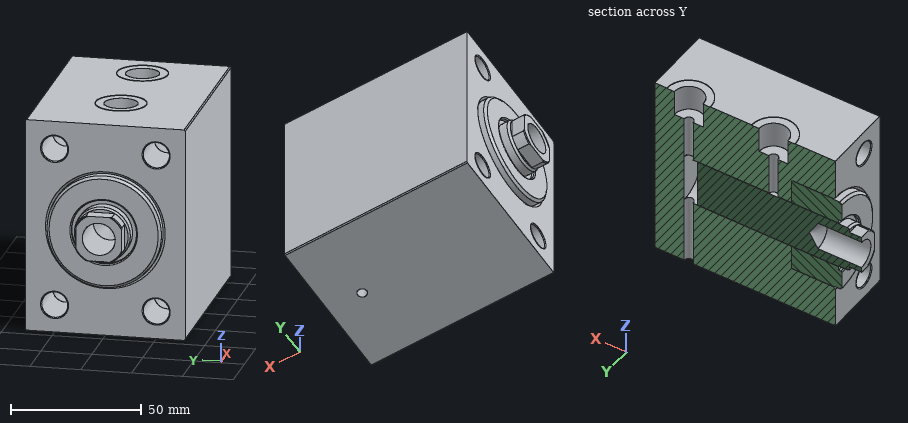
import cadquery as cq
import math

TOTAL_LENGTH = 95.0
ROD_PROJECTION = 12.0

BLOCK_LENGTH = TOTAL_LENGTH - ROD_PROJECTION
BLOCK_WIDTH = 63.0
BLOCK_HEIGHT = 85.0
BLOCK_EDGE_CHAMFER = 0.5

MOUNT_SPACING_Y = 40.0
MOUNT_SPACING_Z = 63.0
MOUNT_RADIUS = 5.1
MOUNT_MOUTH_RADIUS = 5.5
MOUNT_DEPTH = 20.0

PORT_X = (28.5, 67.45)
PORT_RADIUS = 6.6
PORT_DEPTH = 12.0
SPOT_FACE_RADIUS = 10.0
SPOT_FACE_DEPTH = 0.2
DRILL_RADIUS = 2.0

GLAND_RADIUS = 22.5
GLAND_PROJECTION = 3.0
GLAND_INSERTION = 20.0
GLAND_CHAMFER = 1.0
SEAT_MOUTH_RADIUS = 23.6
WIPER_RADIUS = 12.8
WIPER_MOUTH_RADIUS = 13.3
WIPER_DEPTH = 1.5

ROD_RADIUS = 11.0
ROD_CLEARANCE = 2.0
SHOULDER_X = -6.5
SHOULDER_CHAMFER_LENGTH = 1.0
TIP_RADIUS = 10.4
TIP_CHAMFER = 0.4
FLAT_WIDTH = 18.05
ROD_HOLE_RADIUS = 6.5
ROD_HOLE_DEPTH = 20.0

DRILL_POINT_ANGLE = 118

ROD_END_X = PORT_X[1] - DRILL_RADIUS - ROD_CLEARANCE
BORE_END_X = PORT_X[1] + DRILL_RADIUS


def turned(profile):
    """Revolve an outline of (x, radius) points about the X axis."""
    return cq.Workplane("XY").polyline(profile).close().revolve(360, (0, 0, 0), (1, 0, 0))


def drilled_hole(start_x, radius, depth):
    """Cutter for a blind hole along +X with a conical bottom."""
    point = radius / math.tan(math.radians(DRILL_POINT_ANGLE / 2))
    return turned([
        (start_x, 0),
        (start_x, radius),
        (start_x + depth, radius),
        (start_x + depth + point, 0),
    ])


def vertical_cylinder(x, radius, bottom, top):
    """Cylinder about a vertical axis at y = 0."""
    return cq.Workplane("XY", origin=(x, 0, bottom)).circle(radius).extrude(top - bottom)


def make_block():
    """Housing with the stepped bore, the mounting holes and the oil ports."""
    block = cq.Workplane("XY").box(BLOCK_LENGTH, BLOCK_WIDTH, BLOCK_HEIGHT, centered=(False, True, True))
    block = block.edges("|X").chamfer(BLOCK_EDGE_CHAMFER)

    seat_mouth = SEAT_MOUTH_RADIUS - GLAND_RADIUS
    block = block.cut(turned([
        (0, 0),
        (0, SEAT_MOUTH_RADIUS),
        (seat_mouth, GLAND_RADIUS),
        (GLAND_INSERTION, GLAND_RADIUS),
        (GLAND_INSERTION, ROD_RADIUS),
        (BORE_END_X, ROD_RADIUS),
        (BORE_END_X, 0),
    ]))

    mount_mouth = MOUNT_MOUTH_RADIUS - MOUNT_RADIUS
    countersink = turned([
        (0, 0),
        (0, MOUNT_MOUTH_RADIUS),
        (mount_mouth, MOUNT_RADIUS),
        (mount_mouth, 0),
    ])
    mount_hole = drilled_hole(0, MOUNT_RADIUS, MOUNT_DEPTH).union(countersink)
    for y in (-MOUNT_SPACING_Y / 2, MOUNT_SPACING_Y / 2):
        for z in (-MOUNT_SPACING_Z / 2, MOUNT_SPACING_Z / 2):
            block = block.cut(mount_hole.translate((0, y, z)))

    top = BLOCK_HEIGHT / 2
    for x, drill_bottom in zip(PORT_X, (0, -top)):
        block = block.cut(vertical_cylinder(x, SPOT_FACE_RADIUS, top - SPOT_FACE_DEPTH, top))
        block = block.cut(vertical_cylinder(x, PORT_RADIUS, top - PORT_DEPTH, top))
        block = block.cut(vertical_cylinder(x, DRILL_RADIUS, drill_bottom, top))
    return block


def make_gland():
    """Ring around the rod, with an outer chamfer and an open wiper recess in its front face."""
    front = -GLAND_PROJECTION
    wiper_mouth = WIPER_MOUTH_RADIUS - WIPER_RADIUS
    return turned([
        (front, WIPER_MOUTH_RADIUS),
        (front, GLAND_RADIUS - GLAND_CHAMFER),
        (front + GLAND_CHAMFER, GLAND_RADIUS),
        (GLAND_INSERTION, GLAND_RADIUS),
        (GLAND_INSERTION, ROD_RADIUS),
        (front + WIPER_DEPTH, ROD_RADIUS),
        (front + WIPER_DEPTH, WIPER_RADIUS),
        (front + wiper_mouth, WIPER_RADIUS),
    ])


def make_rod():
    """Round rod with a square wrench tip and a blind hole on its axis."""
    tip_x = -ROD_PROJECTION
    rod = turned([
        (tip_x, 0),
        (tip_x, TIP_RADIUS - TIP_CHAMFER),
        (tip_x + TIP_CHAMFER, TIP_RADIUS),
        (SHOULDER_X, TIP_RADIUS),
        (SHOULDER_X + SHOULDER_CHAMFER_LENGTH, ROD_RADIUS),
        (ROD_END_X, ROD_RADIUS),
        (ROD_END_X, 0),
    ])

    tip_length = SHOULDER_X - tip_x
    outer_width = 2 * FLAT_WIDTH
    flats_frame = (
        cq.Workplane("YZ", origin=(tip_x, 0, 0))
        .rect(outer_width, outer_width)
        .rect(FLAT_WIDTH, FLAT_WIDTH)
        .extrude(tip_length)
    )
    rod = rod.cut(flats_frame)

    return rod.cut(drilled_hole(tip_x, ROD_HOLE_RADIUS, ROD_HOLE_DEPTH))


block = make_block()
gland = make_gland()
rod = make_rod()

result = cq.Compound.makeCompound([block.val(), gland.val(), rod.val()])